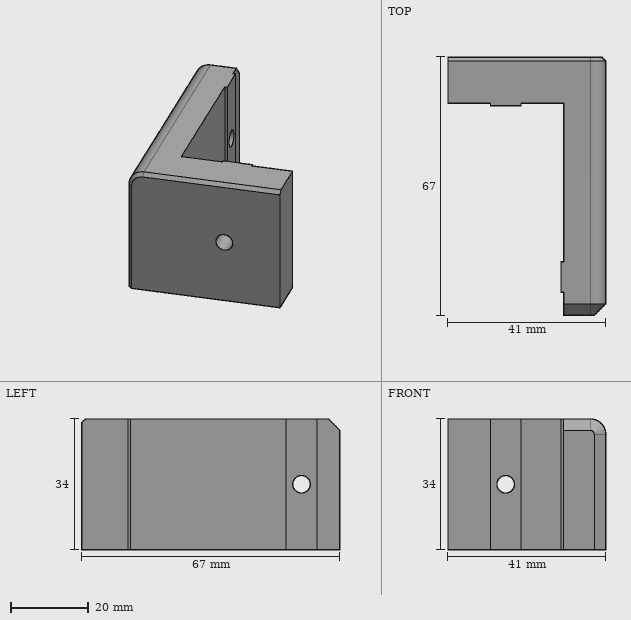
import cadquery as cq

width = 41.0
length = 67.0
height = 34.0

back_thickness = 12.0
side_thickness = 11.0

top_fillet = 4.0
front_chamfer = 3.0
back_chamfer = 1.0

pad_width = 8.0
pad_height = 0.7
back_pad_x = 15.0
side_pad_y = 10.0
hole_diameter = 4.5
hole_z = height / 2

inner_x = width - side_thickness
inner_y = length - back_thickness


def block(x_size, y_size, x_start, y_start):
    """Full-height block with its lower corner at the given position."""
    return cq.Workplane("XY").box(x_size, y_size, height, centered=False).translate((x_start, y_start, 0))


def rounded_envelope():
    """Outer block with its top outer edge rounded and its two end outlines chamfered."""
    envelope = block(width, length, 0, 0)
    envelope = envelope.edges(">X and >Z").fillet(top_fillet)

    for end, size in (("<Y", front_chamfer), (">Y", back_chamfer)):
        envelope = envelope.faces(end).edges("not(<X or <Z)").chamfer(size)
    return envelope


def back_pad():
    return block(pad_width, pad_height, back_pad_x - pad_width / 2, inner_y - pad_height)


def side_pad():
    return block(pad_height, pad_width, inner_x - pad_height, side_pad_y - pad_width / 2)


def back_hole():
    """Hole along Y through the back leg and its pad."""
    start = cq.Vector(back_pad_x, inner_y - pad_height, hole_z)
    depth = back_thickness + pad_height
    return cq.Solid.makeCylinder(hole_diameter / 2, depth, start, cq.Vector(0, 1, 0))


def side_hole():
    """Hole along X through the side leg and its pad."""
    start = cq.Vector(inner_x - pad_height, side_pad_y, hole_z)
    depth = side_thickness + pad_height
    return cq.Solid.makeCylinder(hole_diameter / 2, depth, start, cq.Vector(1, 0, 0))


bracket = rounded_envelope().cut(block(inner_x, inner_y, 0, 0))
bracket = bracket.union(back_pad()).union(side_pad())
result = bracket.cut(back_hole()).cut(side_hole())